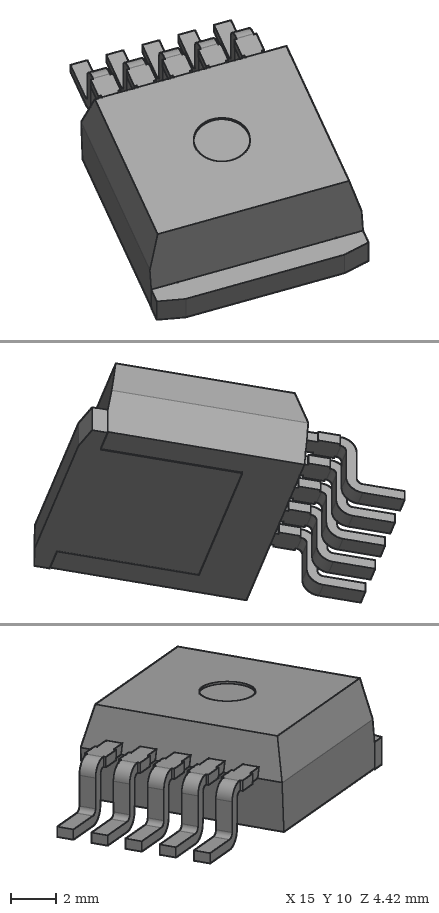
import cadquery as cq

TOTAL_LENGTH = 15
PACKAGE_WIDTH = 10.0
PACKAGE_HEIGHT = 4.42

STANDOFF = 0.05
PARTING_Z = 2.46
PARTING_LEFT_X = 4.75
BOTTOM_LEFT_X = 4.94
BOTTOM_RIGHT_X = 13.98
TOP_LEFT_X = 5.25
TOP_RIGHT_X = 13.48
TOP_SIDE_INSET = 0.48

MARK_DIAMETER = 2.5
MARK_X = 9.35
MARK_DEPTH = 0.1

TAB_THICKNESS = 1.3
TAB_CORNER_LENGTH = 0.3
TAB_END_WIDTH = 7.5
PAD_START_X = 7.45
PAD_WIDTH = TAB_END_WIDTH

LEAD_COUNT = 5
LEAD_PITCH = 1.7
LEAD_THICKNESS = 0.5
LEAD_WIDTH = 0.81
LEAD_TOP_Z = PARTING_Z + LEAD_THICKNESS
LEAD_RISER_X = 2.2
LEAD_END_X = TOP_LEFT_X
BEND_INNER_RADIUS = 0.25
BEND_OUTER_RADIUS = BEND_INNER_RADIUS + LEAD_THICKNESS
SHOULDER_WIDTH = 1.05
SHOULDER_START_X = 3
SHOULDER_LENGTH = 1.0


def make_tab():
    """Heat-sink slug: a narrow pad under the housing and a full-width end with clipped corners."""
    half_pad = PAD_WIDTH / 2
    half_width = PACKAGE_WIDTH / 2
    half_end = TAB_END_WIDTH / 2
    corner_x = TOTAL_LENGTH - TAB_CORNER_LENGTH
    return (
        cq.Workplane("XY")
        .moveTo(PAD_START_X, -half_pad)
        .lineTo(BOTTOM_RIGHT_X, -half_pad)
        .lineTo(BOTTOM_RIGHT_X, -half_width)
        .lineTo(corner_x, -half_width)
        .lineTo(TOTAL_LENGTH, -half_end)
        .lineTo(TOTAL_LENGTH, half_end)
        .lineTo(corner_x, half_width)
        .lineTo(BOTTOM_RIGHT_X, half_width)
        .lineTo(BOTTOM_RIGHT_X, half_pad)
        .lineTo(PAD_START_X, half_pad)
        .close()
        .extrude(TAB_THICKNESS)
    )


def make_lead(y):
    """Gull-wing lead centred on the given Y, with a wider shoulder next to its upper bend."""
    riser_inner_x = LEAD_RISER_X + LEAD_THICKNESS
    strip = (
        cq.Workplane("XZ", origin=(0, y, 0))
        .polyline(
            [
                (0, 0),
                (riser_inner_x, 0),
                (riser_inner_x, PARTING_Z),
                (LEAD_END_X, PARTING_Z),
                (LEAD_END_X, LEAD_TOP_Z),
                (LEAD_RISER_X, LEAD_TOP_Z),
                (LEAD_RISER_X, LEAD_THICKNESS),
                (0, LEAD_THICKNESS),
            ]
        )
        .close()
        .extrude(LEAD_WIDTH / 2, both=True)
    )
    for bend_x, bend_z, radius in (
        (riser_inner_x, 0, BEND_OUTER_RADIUS),
        (LEAD_RISER_X, LEAD_THICKNESS, BEND_INNER_RADIUS),
        (LEAD_RISER_X, LEAD_TOP_Z, BEND_OUTER_RADIUS),
        (riser_inner_x, PARTING_Z, BEND_INNER_RADIUS),
    ):
        corner = cq.selectors.NearestToPointSelector((bend_x, y, bend_z))
        strip = strip.edges("|Y").edges(corner).fillet(radius)
    shoulder = cq.Workplane("XY").box(
        SHOULDER_LENGTH, SHOULDER_WIDTH, LEAD_THICKNESS, centered=(False, True, False)
    ).translate((SHOULDER_START_X, y, PARTING_Z))
    return strip.union(shoulder)


def housing_profile():
    """Side outline of the housing, extruded to the full width of the package."""
    return (
        cq.Workplane("XZ")
        .polyline(
            [
                (BOTTOM_LEFT_X, STANDOFF),
                (BOTTOM_RIGHT_X, STANDOFF),
                (BOTTOM_RIGHT_X, TAB_THICKNESS),
                (TOP_RIGHT_X, PACKAGE_HEIGHT),
                (TOP_LEFT_X, PACKAGE_HEIGHT),
                (PARTING_LEFT_X, PARTING_Z),
            ]
        )
        .close()
        .extrude(PACKAGE_WIDTH / 2, both=True)
    )


def housing_cross_section():
    """End outline of the housing, upright to the parting plane and leaning in above it."""
    half_width = PACKAGE_WIDTH / 2
    half_top = half_width - TOP_SIDE_INSET
    return (
        cq.Workplane("YZ")
        .polyline(
            [
                (-half_width, STANDOFF),
                (half_width, STANDOFF),
                (half_width, PARTING_Z),
                (half_top, PACKAGE_HEIGHT),
                (-half_top, PACKAGE_HEIGHT),
                (-half_width, PARTING_Z),
            ]
        )
        .close()
        .extrude(TOTAL_LENGTH)
    )


def make_housing(inserts):
    """Moulded housing with a round mark in its top and a matching recess for every insert."""
    mark = (
        cq.Workplane("XY", origin=(MARK_X, 0, PACKAGE_HEIGHT))
        .circle(MARK_DIAMETER / 2)
        .extrude(-MARK_DEPTH)
    )
    housing = housing_profile().intersect(housing_cross_section()).cut(mark)
    for insert in inserts:
        housing = housing.cut(insert)
    return housing


tab = make_tab()
leads = [make_lead((i - (LEAD_COUNT - 1) / 2) * LEAD_PITCH) for i in range(LEAD_COUNT)]
housing = make_housing([tab, *leads])

result = cq.Compound.makeCompound([housing.val(), tab.val(), *[lead.val() for lead in leads]])